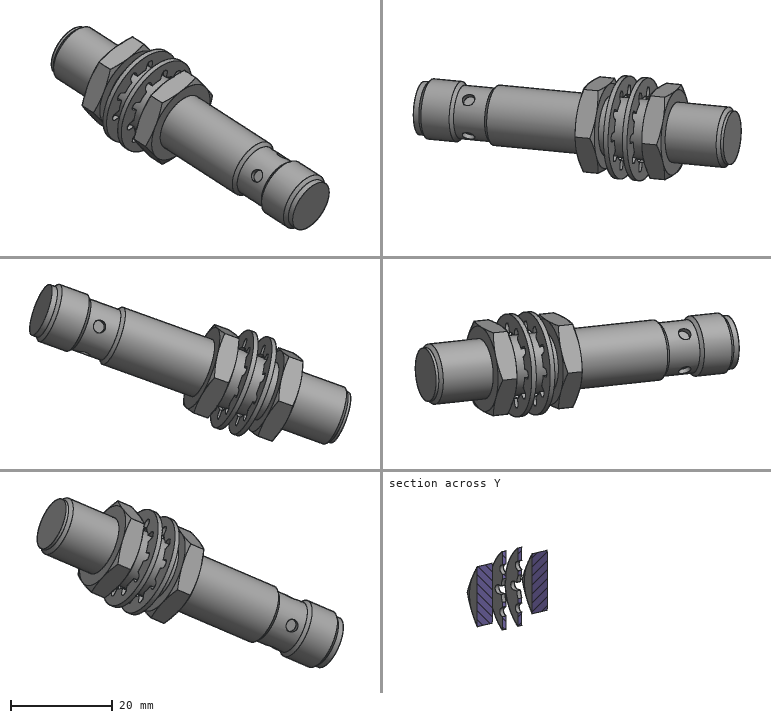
import cadquery as cq
import math

length = 65
barrel_diameter = 12.0
barrel_radius = barrel_diameter / 2
reduced_radius = 5.3
shoulder = barrel_radius - reduced_radius
front_tip_length = 0.6
neck_start = 50.05
neck_end = 56.55
rear_tip_length = 1.2

hole_count = 4
hole_diameter = 2.55
hole_depth = 1.1
hole_x = 53.95
first_hole_angle = 45

nut_starts = (11.95, 25.95)
nut_width = 4.0
nut_across_flats = 16.95
nut_chamfer_angle = 20

washer_starts = (18.45, 22.4)
washer_thickness = 1.0
washer_diameter = 20.5
washer_bore_radius = 6.6
notch_count = 10
notch_radius = 8.45
notch_width = 1.75


def make_sensor():
    """Turned barrel with two reduced tips, a neck and four blind holes."""
    front_shoulder_end = front_tip_length + shoulder
    rear_tip_start = length - rear_tip_length
    profile = [
        (0, 0),
        (0, reduced_radius),
        (front_tip_length, reduced_radius),
        (front_shoulder_end, barrel_radius),
        (neck_start - shoulder, barrel_radius),
        (neck_start, reduced_radius),
        (neck_end, reduced_radius),
        (neck_end + shoulder, barrel_radius),
        (rear_tip_start - shoulder, barrel_radius),
        (rear_tip_start, reduced_radius),
        (length, reduced_radius),
        (length, 0),
    ]
    barrel = cq.Workplane("XY").polyline(profile).close().revolve(360, (0, 0, 0), (1, 0, 0))
    floor_radius = reduced_radius - hole_depth
    hole = (
        cq.Workplane("XY", origin=(hole_x, 0, floor_radius))
        .circle(hole_diameter / 2)
        .extrude(barrel_radius - floor_radius)
    )
    for index in range(hole_count):
        angle = first_hole_angle + index * 360 / hole_count
        barrel = barrel.cut(hole.rotate((0, 0, 0), (1, 0, 0), angle))
    return barrel


def make_nut(start):
    """Hex nut with two flats facing up and down and corners turned off on both faces."""
    corner_radius = nut_across_flats / 2 / math.cos(math.radians(30))
    face_radius = nut_across_flats / 2
    chamfer_length = (corner_radius - face_radius) * math.tan(math.radians(nut_chamfer_angle))
    hexagon = (
        cq.Workplane("YZ", origin=(start, 0, 0))
        .polygon(6, 2 * corner_radius)
        .circle(barrel_radius)
        .extrude(nut_width)
    )
    end = start + nut_width
    turned_profile = [
        (start, 0),
        (start, face_radius),
        (start + chamfer_length, corner_radius),
        (end - chamfer_length, corner_radius),
        (end, face_radius),
        (end, 0),
    ]
    turned_blank = (
        cq.Workplane("XY").polyline(turned_profile).close().revolve(360, (0, 0, 0), (1, 0, 0))
    )
    return hexagon.intersect(turned_blank)


def make_washer(start):
    """Flat ring whose bore is notched all round, leaving inward teeth."""
    plane = cq.Workplane("YZ", origin=(start, 0, 0))
    ring = plane.circle(washer_diameter / 2).circle(washer_bore_radius).extrude(washer_thickness)
    notches = (
        plane.polarArray(notch_radius / 2, 0, 360, notch_count)
        .slot2D(notch_radius, notch_width)
        .extrude(washer_thickness)
    )
    return ring.cut(notches)


sensor = make_sensor()
nuts = [make_nut(start) for start in nut_starts]
washers = [make_washer(start) for start in washer_starts]

result = cq.Compound.makeCompound(
    [sensor.val()] + [nut.val() for nut in nuts] + [washer.val() for washer in washers]
)